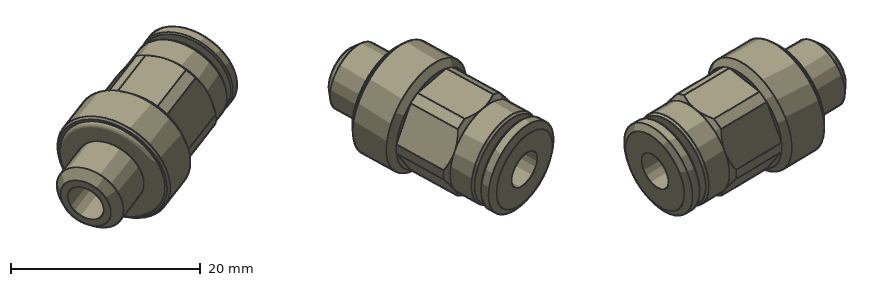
import cadquery as cq

collar_front = 5.52
collar_back = 11.52
hex_back = 18.38
body_back = 21.53
ring_front = 22.4
total_length = 24.0

bore_diameter = 4.3
spigot_diameter = 8.0
collar_diameter = 13.5
seal_diameter = 12.48
hex_corner_diameter = 12.0
body_diameter = 11.0
neck_diameter = 7.1

spigot_chamfer = 0.98
seal_radius = 0.5
collar_front_chamfer = 0.25
collar_back_chamfer = (collar_diameter - hex_corner_diameter) / 2
hex_chamfer = (hex_corner_diameter - body_diameter) / 2
body_chamfer_length = 0.3
body_chamfer_depth = 0.2
neck_fillet = 0.53
ring_front_chamfer = 0.17
ring_back_chamfer_length = 0.45
ring_back_chamfer_depth = 0.8


def cylinder(diameter, start, end):
    """Solid cylinder on the Y axis between two stations."""
    return cq.Workplane("XZ", origin=(0, start, 0)).circle(diameter / 2).extrude(start - end)


def make_spigot():
    spigot = cylinder(spigot_diameter, 0, collar_front)
    return spigot.faces("<Y").chamfer(spigot_chamfer)


def make_collar():
    """Collar with a narrower, rounded sealing lip on its front face."""
    lip_back = collar_front + seal_radius
    lip = cylinder(seal_diameter, collar_front, collar_back - collar_back_chamfer)
    lip = lip.faces("<Y").edges().fillet(seal_radius)
    collar = cylinder(collar_diameter, lip_back, collar_back)
    collar = collar.faces("<Y").chamfer(collar_front_chamfer)
    collar = collar.faces(">Y").chamfer(collar_back_chamfer)
    return collar.union(lip)


def make_hexagon():
    """Hexagon with flats facing +Z and -Z, turned down to rounded corners."""
    hexagon = cylinder(hex_corner_diameter, collar_back, hex_back)
    hexagon = hexagon.faces(">Y").chamfer(hex_chamfer)
    length = hex_back - collar_back
    for angle in (0, 60, 120):
        slab = (
            cq.Workplane("XY")
            .box(hex_corner_diameter, length, body_diameter)
            .translate((0, collar_back + length / 2, 0))
            .rotate((0, 0, 0), (0, 1, 0), angle)
        )
        hexagon = hexagon.intersect(slab)
    return hexagon


def make_body():
    body_radius = body_diameter / 2
    return (
        cq.Workplane("XY")
        .moveTo(0, hex_back)
        .lineTo(body_radius, hex_back)
        .lineTo(body_radius, body_back - body_chamfer_length)
        .lineTo(body_radius - body_chamfer_depth, body_back)
        .lineTo(0, body_back)
        .close()
        .revolve(360, (0, 0, 0), (0, 1, 0))
    )


def make_release_ring():
    """Neck flaring through a concave fillet into the chamfered release ring."""
    neck_radius = neck_diameter / 2
    ring_radius = body_diameter / 2
    return (
        cq.Workplane("XY")
        .moveTo(0, body_back)
        .lineTo(neck_radius, body_back)
        .lineTo(neck_radius, ring_front - neck_fillet)
        .radiusArc((neck_radius + neck_fillet, ring_front), neck_fillet)
        .lineTo(ring_radius - ring_front_chamfer, ring_front)
        .lineTo(ring_radius, ring_front + ring_front_chamfer)
        .lineTo(ring_radius, total_length - ring_back_chamfer_length)
        .lineTo(ring_radius - ring_back_chamfer_depth, total_length)
        .lineTo(0, total_length)
        .close()
        .revolve(360, (0, 0, 0), (0, 1, 0))
    )


fitting = make_spigot().union(make_collar()).union(make_hexagon())
fitting = fitting.union(make_body()).union(make_release_ring())

result = fitting.cut(cylinder(bore_diameter, 0, total_length))